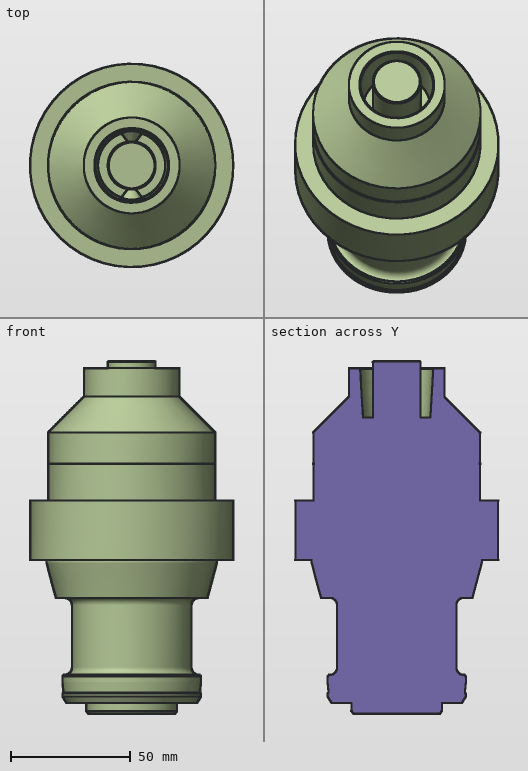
import cadquery as cq
import math

tail_chamfer_top = 1.2
bead_bottom = 4.4
bead_height = 11.9
cone_bottom = 48.3
collar_bottom = 63.0
flange_bottom = 64.2
flange_top = 89.0
joint_level = 104.4
shoulder_top = 132.3
head_top = 144.3
overall_height = 147.2

tail_radius = 38.0 / 2
bead_radius = 58.0 / 2
neck_radius = 50.0 / 2
collar_radius = 71.2 / 2
flange_radius = 85.0 / 2
body_radius = 69.9 / 2
head_radius = 40.0 / 2
pin_radius = 20.0 / 2

tail_chamfer_width = 0.9
neck_fillet = 3.0
collar_angle = math.radians(15)
pin_chamfer = 0.5
joint_width = 0.3
joint_depth = 0.3

bead_top_chamfer = 0.7
bead_foot_height = 2.8
bead_foot_inset = 1.8
bead_land_height = 1.2
bead_step = 0.5
bead_groove_height = 4.4

bore_mouth_radius = 15.6
bore_mouth_chamfer = 0.5
bore_floor_radius = 14.0
bore_depth = 20.6

stop_apex_y = 7.8
stop_angle = math.radians(38)
stop_length = 7.4


def make_body():
    """Solid of revolution: tail, bead, neck, collar, flange, body, shoulder and head."""
    bead_top = bead_bottom + bead_height
    foot_top = bead_bottom + bead_foot_height
    land_top = foot_top + bead_land_height
    groove_bottom = land_top + bead_step
    groove_top = groove_bottom + bead_groove_height
    fillet_outer_radius = neck_radius + neck_fillet
    fillet_mid = neck_fillet * (1 - math.sqrt(0.5))
    cone_radius = collar_radius - (collar_bottom - cone_bottom) * math.tan(collar_angle)
    joint_radius = body_radius - joint_depth
    shoulder_bottom = shoulder_top - (body_radius - head_radius)

    profile = (
        cq.Workplane("XZ")
        .moveTo(0, 0)
        .lineTo(tail_radius - tail_chamfer_width, 0)
        .lineTo(tail_radius, tail_chamfer_top)
        .lineTo(tail_radius, bead_bottom)
        .lineTo(bead_radius - bead_foot_inset, bead_bottom)
        .lineTo(bead_radius, foot_top)
        .lineTo(bead_radius, land_top)
        .lineTo(bead_radius - bead_step, groove_bottom)
        .lineTo(bead_radius, groove_top)
        .lineTo(bead_radius, bead_top - bead_top_chamfer)
        .lineTo(bead_radius - bead_top_chamfer, bead_top)
        .lineTo(fillet_outer_radius, bead_top)
        .threePointArc((neck_radius + fillet_mid, bead_top + fillet_mid),
                       (neck_radius, bead_top + neck_fillet))
        .lineTo(neck_radius, cone_bottom - neck_fillet)
        .threePointArc((neck_radius + fillet_mid, cone_bottom - fillet_mid),
                       (fillet_outer_radius, cone_bottom))
        .lineTo(cone_radius, cone_bottom)
        .lineTo(collar_radius, collar_bottom)
        .lineTo(collar_radius, flange_bottom)
        .lineTo(flange_radius, flange_bottom)
        .lineTo(flange_radius, flange_top)
        .lineTo(body_radius, flange_top)
        .lineTo(body_radius, joint_level - joint_width / 2)
        .lineTo(joint_radius, joint_level - joint_width / 2)
        .lineTo(joint_radius, joint_level + joint_width / 2)
        .lineTo(body_radius, joint_level + joint_width / 2)
        .lineTo(body_radius, shoulder_bottom)
        .lineTo(head_radius, shoulder_top)
        .lineTo(head_radius, head_top)
        .lineTo(0, head_top)
        .close()
    )
    return profile.revolve(360, (0, 0, 0), (0, 1, 0))


def make_bore():
    """Slightly tapered blind bore with a chamfered mouth."""
    wall_top_radius = bore_mouth_radius - bore_mouth_chamfer
    profile = (
        cq.Workplane("XZ")
        .moveTo(0, head_top - bore_depth)
        .lineTo(bore_floor_radius, head_top - bore_depth)
        .lineTo(wall_top_radius, head_top - bore_mouth_chamfer)
        .lineTo(bore_mouth_radius, head_top)
        .lineTo(0, head_top)
        .close()
    )
    return profile.revolve(360, (0, 0, 0), (0, 1, 0))


def make_pin():
    """Central pin standing on the bore floor and rising above the head."""
    floor = head_top - bore_depth
    return (
        cq.Workplane("XY", origin=(0, 0, floor))
        .circle(pin_radius)
        .extrude(overall_height - floor)
        .faces(">Z")
        .chamfer(pin_chamfer)
    )


def make_stop(side):
    """Cone lying along Y, its point towards the pin; side is +1 or -1."""
    base_radius = stop_length * math.tan(stop_angle)
    cone = cq.Solid.makeCone(
        0, base_radius, stop_length,
        pnt=cq.Vector(0, side * stop_apex_y, head_top - bore_depth),
        dir=cq.Vector(0, side, 0),
    )
    return cq.Workplane(obj=cone)


result = make_body().cut(make_bore()).union(make_pin())
for side in (1, -1):
    result = result.union(make_stop(side))